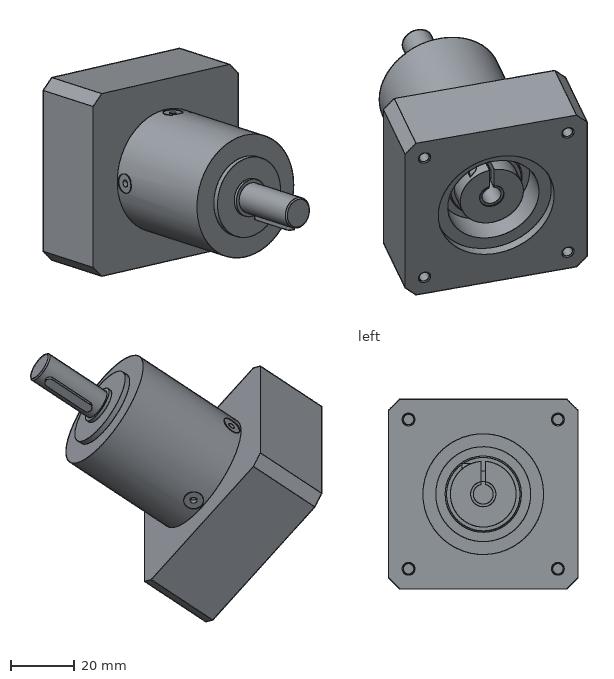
import cadquery as cq


flange_size = 60.0
flange_length = 24.5
corner_chamfer = 3.6
bolt_pitch = 47.2
bolt_hole_diameter = 3.3
bolt_hole_mouth = 4.0
bolt_hole_depth = 9.85

pilot_diameter = 38.1
pilot_depth = 3.2
bore_diameter = 30.0
bore_depth = 13.8

housing_diameter = 40.0
housing_end = 63.55
output_pilot_diameter = 26.0
output_pilot_end = 65.3
collar_diameter = 12.2
collar_end = 66.4
shaft_diameter = 9.9
shaft_end = 89.5
shaft_chamfer = 0.45

key_start = 68.9
key_length = 18.0
key_width = 3.0
key_reach = 6.1

plug_x = 28.0
plug_diameter = 6.3
plug_flat_depth = 0.4
plug_hole_diameter = 2.15
plug_hole_depth = 1.8
plug_count = 4

hub_diameter = 20.8
hub_face = 4.9
hub_collar_diameter = 24.1
hub_collar_face = 11.6
hub_collar_chamfer = 0.45
hub_bore_diameter = 6.3
hub_bore_depth = 19.7
hub_mouth_diameter = 8.0
hub_mouth_depth = 0.45
slit_width = 1.5
slit_step_height = 7.3
slit_inner_end = 8.8
slit_outer_end = hub_collar_face

screw_x = 8.8
screw_diameter = 5.5
screw_height = 6.9
screw_head_end = 6.7
screw_head_length = 3.6


def disc(diameter, start, end):
    """Cylinder on the gearbox axis between two X positions."""
    return cq.Workplane("YZ", origin=(start, 0, 0)).circle(diameter / 2).extrude(end - start)


def box_between(x_range, y_range, z_range):
    """Box spanning the given coordinate ranges."""
    sizes = [high - low for low, high in (x_range, y_range, z_range)]
    low_corner = (x_range[0], y_range[0], z_range[0])
    return cq.Workplane("XY").box(*sizes, centered=False).translate(low_corner)


def make_flange():
    block = cq.Workplane("YZ").rect(flange_size, flange_size).extrude(flange_length)
    block = block.edges("|X").chamfer(corner_chamfer)
    pocket = disc(pilot_diameter, 0, pilot_depth).union(disc(bore_diameter, 0, bore_depth))
    return block.cut(pocket)


def make_bolt_holes():
    """Four blind holes with a 45 degree countersink at the motor face."""
    drill_radius = bolt_hole_diameter / 2
    mouth_radius = bolt_hole_mouth / 2
    hole = (
        cq.Workplane("XY")
        .polyline([
            (0, 0),
            (0, mouth_radius),
            (mouth_radius - drill_radius, drill_radius),
            (bolt_hole_depth, drill_radius),
            (bolt_hole_depth, 0),
        ])
        .close()
        .revolve(360, (0, 0, 0), (1, 0, 0))
    )
    holes = cq.Workplane("XY")
    for y_side in (-1, 1):
        for z_side in (-1, 1):
            offset = (0, y_side * bolt_pitch / 2, z_side * bolt_pitch / 2)
            holes = holes.add(hole.translate(offset))
    return holes.combine()


def make_housing_and_shaft():
    housing = disc(housing_diameter, flange_length, housing_end)
    output_pilot = disc(output_pilot_diameter, housing_end, output_pilot_end)
    collar = disc(collar_diameter, output_pilot_end, collar_end)
    shaft = disc(shaft_diameter, collar_end, shaft_end).faces(">X").chamfer(shaft_chamfer)
    return housing.union(output_pilot).union(collar).union(shaft)


def make_key():
    """Round-ended key running from the shaft axis down to its flat face."""
    return (
        cq.Workplane("XY", origin=(key_start + key_length / 2, 0, -key_reach))
        .slot2D(key_length, key_width)
        .extrude(key_reach)
    )


def make_plug_recesses():
    """Flat-bottomed recesses with a small centre hole, equally spaced around the housing."""
    floor_height = housing_diameter / 2 - plug_flat_depth
    floor = cq.Workplane("XY", origin=(plug_x, 0, floor_height))
    recess = floor.circle(plug_diameter / 2).extrude(2 * plug_flat_depth)
    recess = recess.union(floor.circle(plug_hole_diameter / 2).extrude(-plug_hole_depth))
    recesses = cq.Workplane("XY")
    for index in range(plug_count):
        recesses = recesses.add(recess.rotate((0, 0, 0), (1, 0, 0), index * 360 / plug_count))
    return recesses.combine()


def make_hub():
    """Slit clamping hub standing on a chamfered collar, with its screw head at the +Y side."""
    hub_collar = disc(hub_collar_diameter, hub_collar_face, bore_depth)
    hub_collar = hub_collar.faces("<X").chamfer(hub_collar_chamfer)
    hub = disc(hub_diameter, hub_face, bore_depth).union(hub_collar)
    screw_head = (
        cq.Workplane("XZ", origin=(screw_x, screw_head_end, screw_height))
        .circle(screw_diameter / 2)
        .extrude(screw_head_length)
    )
    slit_sides = (-slit_width / 2, slit_width / 2)
    inner_slit = box_between((hub_face, slit_inner_end), slit_sides, (0, slit_step_height))
    outer_slit = box_between((hub_face, slit_outer_end), slit_sides, (slit_step_height, hub_diameter / 2))
    return hub.union(screw_head).cut(inner_slit).cut(outer_slit)


def make_hub_bore():
    """Blind motor shaft bore with a wider mouth and a slit along its whole upper side."""
    bore_end = hub_face + hub_bore_depth
    bore = disc(hub_bore_diameter, hub_face, bore_end)
    slit_sides = (-slit_width / 2, slit_width / 2)
    bore = bore.union(box_between((hub_face, bore_end), slit_sides, (0, hub_mouth_diameter / 2)))
    return bore.union(disc(hub_mouth_diameter, hub_face, hub_face + hub_mouth_depth))


result = (
    make_flange()
    .cut(make_bolt_holes())
    .union(make_housing_and_shaft())
    .union(make_key())
    .cut(make_plug_recesses())
    .union(make_hub())
    .cut(make_hub_bore())
)